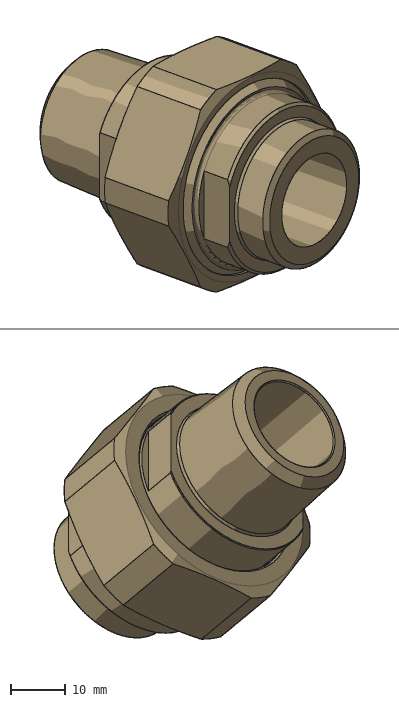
import cadquery as cq
import math

TOTAL_LENGTH = 57.5

BORE_RADIUS = 18.0 / 2
SPIGOT_RADIUS = 26.9 / 2
COLLAR_RADIUS = 33.0 / 2
FLAT_WIDTH = 30.0
ROOT_HEIGHT = 0.3
ROOT_LENGTH = 0.6

TAIL_TIP_RADIUS = 12.9
TAIL_CHAMFER = 1.65
BORE_CHAMFER = 0.25
TAIL_COLLAR_START = 18.0
TAIL_COLLAR_CHAMFER = 0.2
TAIL_FLANGE_RADIUS = 36.0 / 2

NUT_START = 25.05
NUT_END = 42.05
NUT_ACROSS_FLATS = 41.0
NUT_CORNER_RADIUS = 44.7 / 2
NUT_FACE_RADIUS = 20.2
NUT_CHAMFER_LENGTH = 0.7
NUT_MOUTH_RADIUS = 33.5 / 2
NUT_MOUTH_CHAMFER = 0.4
NUT_LIP_THICKNESS = 3.1
NUT_RECESS_RADIUS = 36.4 / 2

THREAD_RADIUS = 37.85 / 2
THREAD_CHAMFER_START = 41.35
SHOULDER_X = 43.05
SHOULDER_RADIUS = 17.6
SHOULDER_FILLET = 0.7
SOCKET_COLLAR_END = 50.0
SOCKET_COLLAR_CHAMFER = 0.5
SPIGOT_CHAMFER_LENGTH = 0.75
SPIGOT_CHAMFER_HEIGHT = 1.1

LIP_INNER_X = NUT_START + NUT_LIP_THICKNESS
FLANGE_THICKNESS = 4.0
JOINT_X = LIP_INNER_X + FLANGE_THICKNESS


def revolve_about_x(outline):
    """Close an (x, radius) outline and turn it a full circle about the X axis."""
    return outline.close().revolve(360, (0, 0, 0), (1, 0, 0))


def cut_wrench_flats(body, start, end):
    """Cut two parallel flats, facing -Y and +Y, between two stations."""
    depth = COLLAR_RADIUS
    for side in (-1, 1):
        cutter = cq.Workplane("XY").box(end - start, depth, 2 * COLLAR_RADIUS)
        body = body.cut(cutter.translate(((start + end) / 2, side * (FLAT_WIDTH + depth) / 2, 0)))
    return body


def make_tail_piece():
    outline = (
        cq.Workplane("XY")
        .moveTo(0, BORE_RADIUS + BORE_CHAMFER)
        .lineTo(0, TAIL_TIP_RADIUS - TAIL_CHAMFER)
        .lineTo(TAIL_CHAMFER, TAIL_TIP_RADIUS)
        .lineTo(TAIL_COLLAR_START - ROOT_LENGTH, SPIGOT_RADIUS)
        .lineTo(TAIL_COLLAR_START, SPIGOT_RADIUS + ROOT_HEIGHT)
        .lineTo(TAIL_COLLAR_START, COLLAR_RADIUS - TAIL_COLLAR_CHAMFER)
        .lineTo(TAIL_COLLAR_START + TAIL_COLLAR_CHAMFER, COLLAR_RADIUS)
        .lineTo(LIP_INNER_X, COLLAR_RADIUS)
        .lineTo(LIP_INNER_X, TAIL_FLANGE_RADIUS)
        .lineTo(JOINT_X, TAIL_FLANGE_RADIUS)
        .lineTo(JOINT_X, BORE_RADIUS)
        .lineTo(BORE_CHAMFER, BORE_RADIUS)
    )
    return cut_wrench_flats(revolve_about_x(outline), TAIL_COLLAR_START, NUT_START)


def make_socket_piece():
    fillet_offset = SHOULDER_FILLET * (1 - math.sqrt(0.5))
    outline = (
        cq.Workplane("XY")
        .moveTo(JOINT_X, BORE_RADIUS)
        .lineTo(JOINT_X, THREAD_RADIUS)
        .lineTo(THREAD_CHAMFER_START, THREAD_RADIUS)
        .lineTo(SHOULDER_X, SHOULDER_RADIUS)
        .lineTo(SHOULDER_X, COLLAR_RADIUS + SHOULDER_FILLET)
        .threePointArc(
            (SHOULDER_X + fillet_offset, COLLAR_RADIUS + fillet_offset),
            (SHOULDER_X + SHOULDER_FILLET, COLLAR_RADIUS),
        )
        .lineTo(SOCKET_COLLAR_END - SOCKET_COLLAR_CHAMFER, COLLAR_RADIUS)
        .lineTo(SOCKET_COLLAR_END, COLLAR_RADIUS - SOCKET_COLLAR_CHAMFER)
        .lineTo(SOCKET_COLLAR_END, SPIGOT_RADIUS + ROOT_HEIGHT)
        .lineTo(SOCKET_COLLAR_END + ROOT_LENGTH, SPIGOT_RADIUS)
        .lineTo(TOTAL_LENGTH - SPIGOT_CHAMFER_LENGTH, SPIGOT_RADIUS)
        .lineTo(TOTAL_LENGTH, SPIGOT_RADIUS - SPIGOT_CHAMFER_HEIGHT)
        .lineTo(TOTAL_LENGTH, BORE_RADIUS)
    )
    flats_start = SHOULDER_X + SHOULDER_FILLET
    return cut_wrench_flats(revolve_about_x(outline), flats_start, SOCKET_COLLAR_END)


def make_nut():
    blank = revolve_about_x(
        cq.Workplane("XY")
        .moveTo(NUT_START, NUT_MOUTH_RADIUS + NUT_MOUTH_CHAMFER)
        .lineTo(NUT_START, NUT_FACE_RADIUS)
        .lineTo(NUT_START + NUT_CHAMFER_LENGTH, NUT_CORNER_RADIUS)
        .lineTo(NUT_END - NUT_CHAMFER_LENGTH, NUT_CORNER_RADIUS)
        .lineTo(NUT_END, NUT_FACE_RADIUS)
        .lineTo(NUT_END, THREAD_RADIUS)
        .lineTo(JOINT_X, THREAD_RADIUS)
        .lineTo(JOINT_X, NUT_RECESS_RADIUS)
        .lineTo(LIP_INNER_X, NUT_RECESS_RADIUS)
        .lineTo(LIP_INNER_X, NUT_MOUTH_RADIUS)
        .lineTo(NUT_START + NUT_MOUTH_CHAMFER, NUT_MOUTH_RADIUS)
    )
    across_corners = NUT_ACROSS_FLATS / math.cos(math.pi / 6)
    hexagon = (
        cq.Workplane("YZ", origin=(NUT_START, 0, 0))
        .polygon(6, across_corners)
        .extrude(NUT_END - NUT_START)
    )
    return blank.intersect(hexagon)


tail_piece = make_tail_piece().solids()
socket_piece = make_socket_piece().solids()
nut = make_nut().solids()

result = cq.Compound.makeCompound([tail_piece.val(), socket_piece.val(), nut.val()])